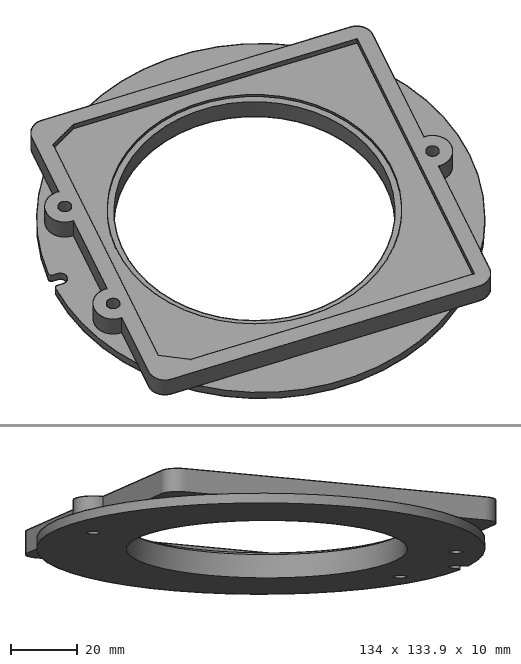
import cadquery as cq

disc_diameter = 134.0
disc_thickness = 3.0

total_height = 10.0
frame_height = total_height - disc_thickness
frame_width = 106.7
frame_length = 109.3
corner_radius = 5.2

wall = 5.0
pocket_depth = 2.0
corner_cut_x = 5.0
corner_cut_y = 8.5

opening_offset_y = -2.0
opening_diameter = 84.0
step_diameter = 88.0
step_depth = 1.0

boss_radius = 6.0
screw_hole_diameter = 4.0
boss_y = 55.1
boss_x = 20.0
boss_centers = [(0, boss_y), (-boss_x, -boss_y), (boss_x, -boss_y)]

notch_width = 4.2
notch_end_y = -62.2
notch_mouth_radius = 1.0


def make_disc():
    """Base disc with a round-ended notch and rounded notch mouth."""
    disc = cq.Workplane("XY").circle(disc_diameter / 2).extrude(disc_thickness)
    notch_radius = notch_width / 2
    notch_center_y = notch_end_y - notch_radius
    rim_y = -disc_diameter / 2
    notch = (
        cq.Workplane("XY")
        .moveTo(-notch_radius, rim_y - notch_width)
        .lineTo(-notch_radius, notch_center_y)
        .threePointArc((0, notch_end_y), (notch_radius, notch_center_y))
        .lineTo(notch_radius, rim_y - notch_width)
        .close()
        .extrude(disc_thickness)
    )
    mouth = cq.selectors.BoxSelector(
        (-notch_width, rim_y - notch_width, 0),
        (notch_width, notch_center_y - notch_radius / 2, disc_thickness),
    )
    return disc.cut(notch).edges("|Z").edges(mouth).fillet(notch_mouth_radius)


def make_frame():
    """Rounded rectangular block with the screw bosses on its edges."""
    block = (
        cq.Workplane("XY", origin=(0, 0, disc_thickness))
        .rect(frame_width, frame_length)
        .extrude(frame_height)
        .edges("|Z")
        .fillet(corner_radius)
    )
    bosses = (
        cq.Workplane("XY", origin=(0, 0, disc_thickness))
        .pushPoints(boss_centers)
        .circle(boss_radius)
        .extrude(frame_height)
    )
    return block.union(bosses)


def make_pocket():
    """Volume of the shallow pocket in the top of the frame."""
    half_width = frame_width / 2 - wall
    half_length = frame_length / 2 - wall
    outline = [
        (-half_width, half_length),
        (half_width, half_length),
        (half_width, corner_cut_y - half_length),
        (half_width - corner_cut_x, -half_length),
        (corner_cut_x - half_width, -half_length),
        (-half_width, corner_cut_y - half_length),
    ]
    return (
        cq.Workplane("XY", origin=(0, 0, total_height))
        .polyline(outline)
        .close()
        .extrude(-pocket_depth)
    )


def make_opening():
    """Volume of the through opening and the step around its top."""
    pocket_floor = total_height - pocket_depth
    bore = (
        cq.Workplane("XY", origin=(0, opening_offset_y, 0))
        .circle(opening_diameter / 2)
        .extrude(pocket_floor)
    )
    step = (
        cq.Workplane("XY", origin=(0, opening_offset_y, pocket_floor))
        .circle(step_diameter / 2)
        .extrude(-step_depth)
    )
    return bore.union(step)


def make_screw_holes():
    """Through holes on the boss centers."""
    return (
        cq.Workplane("XY")
        .pushPoints(boss_centers)
        .circle(screw_hole_diameter / 2)
        .extrude(total_height)
    )


result = (
    make_disc()
    .union(make_frame())
    .cut(make_pocket())
    .cut(make_opening())
    .cut(make_screw_holes())
)